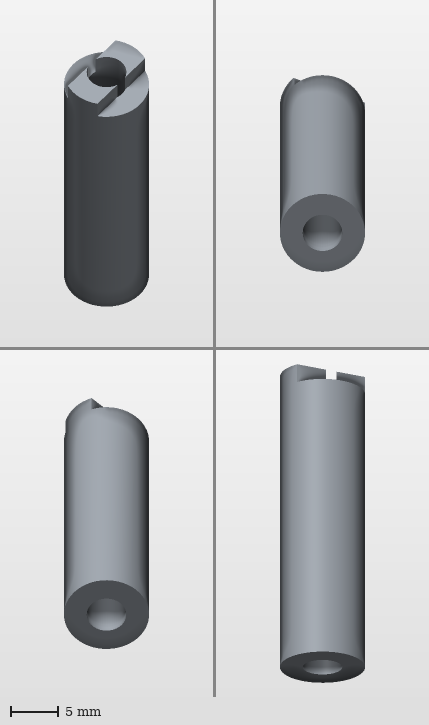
import cadquery as cq

total_length = 33.0
outer_diameter = 9.0
bore_diameter = 4.2

tang_width = 4.0
tang_height = 2.0
shoulder_height = total_length - tang_height


def make_sleeve():
    """Plain round body with a through bore, standing on Z = 0."""
    return (
        cq.Workplane("XY")
        .circle(outer_diameter / 2)
        .circle(bore_diameter / 2)
        .extrude(total_length)
    )


def make_shoulder_cuts():
    """Material removed on both sides of the tang, down to the shoulder."""
    top_disc = (
        cq.Workplane("XY")
        .workplane(offset=shoulder_height)
        .circle(outer_diameter)
        .extrude(tang_height)
    )
    tang = (
        cq.Workplane("XY")
        .workplane(offset=shoulder_height)
        .rect(tang_width, 2 * outer_diameter)
        .extrude(tang_height)
    )
    return top_disc.cut(tang)


result = make_sleeve().cut(make_shoulder_cuts())